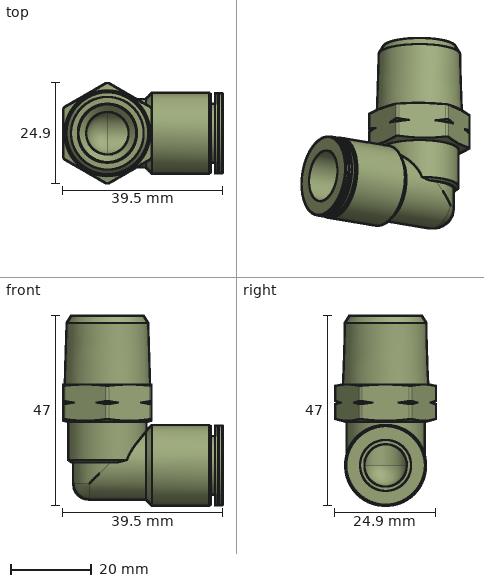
import cadquery as cq
import math


collar_radius = 10.0
elbow_radius = 8.5
collar_start = 11.0
cone_start = collar_start - (collar_radius - elbow_radius)
collar_end = 25.55
collar_bevel_start = 25.05
collar_bevel_end = 25.4
collar_end_radius = 19.4 / 2
neck_radius = 14.6 / 2
flange_start = 26.6
flange_end = 28.55
flange_radius = 19.8 / 2
flange_bevel = 0.2
flange_groove_start = 27.25
flange_groove_width = 0.3
flange_groove_radius = 19.4 / 2

total_height = 47.0
thread_top = total_height - collar_radius
thread_bevel_height = 1.9
thread_tip_radius = 9.0
thread_small_radius = 10.1
thread_taper = 1 / 16
sleeve_radius = 19.4 / 2
sleeve_bevel_top = 1.35
sleeve_bottom = 0.75
sleeve_bottom_radius = 8.85

hex_bottom = 10.7
hex_top = 19.98
hex_flats = 21.8
hex_corner_fillet = 0.9
hex_envelope_radius = 12.5
hex_top_radius = 10.75
hex_top_bevel = 0.35
hex_bottom_bevel = 0.75
notch_height = 15.5
notch_root_radius = 11.37
notch_half_width = 0.4

corner_offset = 4.4

thread_bore_radius = 14.25 / 2
thread_mouth_radius = 14.6 / 2
passage_radius = 10.5 / 2
thread_bore_floor = 14.1
bore_cone_height = 1.9
socket_radius = 12.6 / 2
socket_start = 11.3


def turned_about_z(profile):
    """Solid of revolution from (radius, z) points."""
    return cq.Workplane("XZ").polyline(profile).close().revolve(360, (0, 0), (0, 1))


def turned_about_x(profile):
    """Solid of revolution from (x, radius) points."""
    return cq.Workplane("XZ").polyline(profile).close().revolve(360, (0, 0), (1, 0))


def mitre_wedge(far_corner, reach):
    """Triangular block on the side of the plane x = z where far_corner lies."""
    return (
        cq.Workplane("XZ")
        .polyline([(-reach, -reach), (reach, reach), far_corner])
        .close()
        .extrude(reach, both=True)
    )


def make_elbow():
    """Two equal cylinders mitred on the plane x = z, with the outer corner rounded."""
    r = elbow_radius
    c = corner_offset
    upright = cq.Workplane("XY").workplane(offset=-c).circle(r).extrude(c + hex_bottom)
    level = cq.Workplane("YZ").workplane(offset=-c).circle(r).extrude(c + cone_start)
    reach = 2 * r
    below_mitre = mitre_wedge((reach, -reach), reach)
    above_mitre = mitre_wedge((-reach, reach), reach)

    half_chord = math.sqrt(r**2 - c**2)
    rounded_corner = (
        cq.Workplane("XY", origin=(0, 0, -c))
        .moveTo(-c, -half_chord)
        .threePointArc((-r, 0), (-c, half_chord))
        .close()
        .revolve(90, (-c, half_chord), (-c, -half_chord))
    )
    return upright.cut(below_mitre).union(level.cut(above_mitre)).union(rounded_corner)


def make_thread_side():
    """Tapered thread blank above the hexagon and plain sleeve below it."""
    thread_bevel_bottom = thread_top - thread_bevel_height
    thread_large_radius = thread_small_radius + (thread_bevel_bottom - hex_top) * thread_taper / 2
    thread = turned_about_z([
        (0, hex_top),
        (thread_large_radius, hex_top),
        (thread_small_radius, thread_bevel_bottom),
        (thread_tip_radius, thread_top),
        (0, thread_top),
    ])
    sleeve = turned_about_z([
        (0, sleeve_bottom),
        (sleeve_bottom_radius, sleeve_bottom),
        (sleeve_radius, sleeve_bevel_top),
        (sleeve_radius, hex_top),
        (0, hex_top),
    ])
    return make_hexagon().union(thread).union(sleeve)


def make_hexagon():
    """Hexagon with rounded corners, beveled ends and a V notch across each corner."""
    prism = (
        cq.Workplane("XY")
        .workplane(offset=hex_bottom)
        .transformed(rotate=(0, 0, 30))
        .polygon(6, hex_flats / math.cos(math.pi / 6))
        .extrude(hex_top - hex_bottom)
        .edges("|Z")
        .fillet(hex_corner_fillet)
    )
    envelope = turned_about_z([
        (0, hex_bottom),
        (sleeve_radius, hex_bottom),
        (hex_envelope_radius, hex_bottom + hex_bottom_bevel),
        (hex_envelope_radius, notch_height - notch_half_width),
        (notch_root_radius, notch_height),
        (hex_envelope_radius, notch_height + notch_half_width),
        (hex_envelope_radius, hex_top - hex_top_bevel),
        (hex_top_radius, hex_top),
        (0, hex_top),
    ])
    return prism.intersect(envelope)


def make_tube_side():
    """Collar with a conical start, then the neck and grooved flange of the release ring."""
    groove_end = flange_groove_start + flange_groove_width
    return turned_about_x([
        (cone_start, 0),
        (cone_start, elbow_radius),
        (collar_start, collar_radius),
        (collar_bevel_start, collar_radius),
        (collar_bevel_end, collar_end_radius),
        (collar_end, collar_end_radius),
        (collar_end, neck_radius),
        (flange_start, neck_radius),
        (flange_start, flange_radius),
        (flange_groove_start, flange_radius),
        (flange_groove_start, flange_groove_radius),
        (groove_end, flange_groove_radius),
        (groove_end, flange_radius),
        (flange_end - flange_bevel, flange_radius),
        (flange_end, flange_radius - flange_bevel),
        (flange_end, 0),
    ])


def make_bores():
    """Stepped bore from the thread, spherical elbow pocket and tube socket."""
    mouth_bevel = thread_mouth_radius - thread_bore_radius
    thread_bore = turned_about_z([
        (0, 0),
        (passage_radius, 0),
        (passage_radius, thread_bore_floor - bore_cone_height),
        (thread_bore_radius, thread_bore_floor),
        (thread_bore_radius, thread_top - mouth_bevel),
        (thread_mouth_radius, thread_top),
        (0, thread_top),
    ])
    pocket = cq.Workplane("XY").sphere(passage_radius)
    tube_bore = turned_about_x([
        (0, 0),
        (0, passage_radius),
        (socket_start, passage_radius),
        (socket_start, socket_radius),
        (flange_end, socket_radius),
        (flange_end, 0),
    ])
    return thread_bore.union(pocket).union(tube_bore)


body = make_elbow().union(make_thread_side()).union(make_tube_side())
result = body.cut(make_bores())